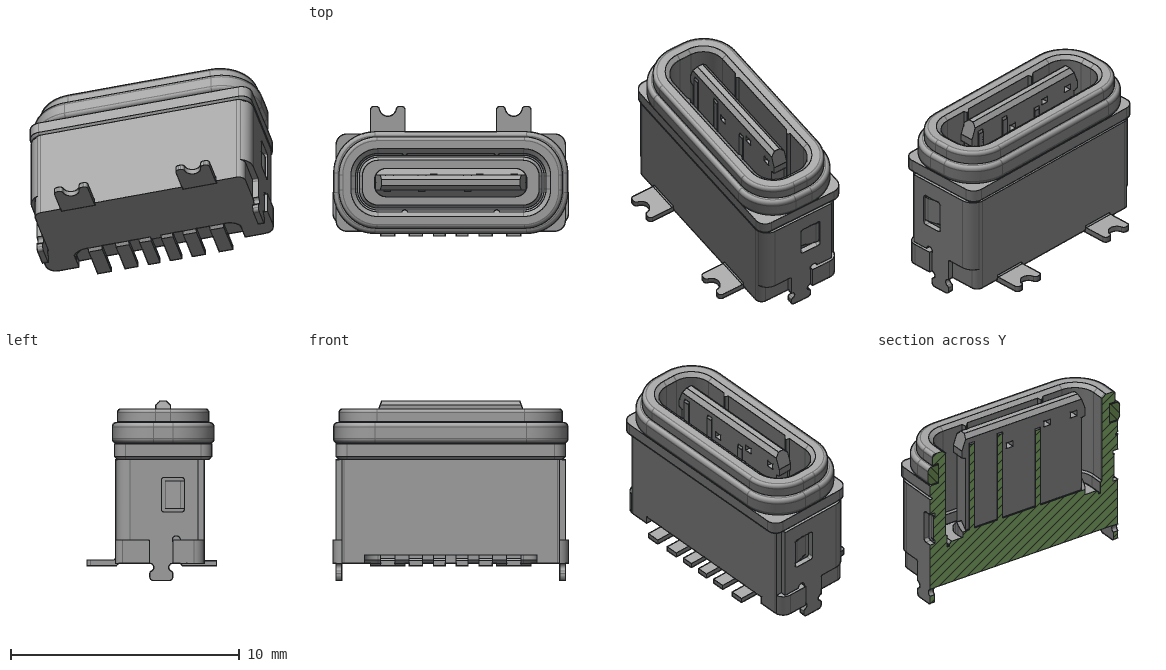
import cadquery as cq
import math


mouth_half_x = 4.36
mouth_half_y = 1.48
mouth_corner_radius = 1.19
entry_chamfer_width = 0.21
entry_chamfer_depth = 0.15
lip_half_x = 4.88
lip_half_y = 2.0
lip_corner_radius = 1.67
groove_depth = 0.31
lip_top = 6.75
lip_bottom = 6.18
lip_fillet = 0.16

seal_half_x = 5.11
seal_half_y = 2.22
seal_corner_radius = 1.8
seal_top = 6.15
seal_bottom = 5.25
seal_fillet = 0.2

flange_half_x = 5.01
flange_half_y = 2.13
flange_top = 5.22
flange_bottom = 4.53
flange_corner_radius = 0.48
flange_chamfer = 0.14

body_half_x = 4.75
body_front = -1.81
body_back = 2.09
body_front_chamfer_x = 0.09
body_front_chamfer_y = 0.02
body_back_radius = 0.32

plate_outer_x = flange_half_x
plate_front = -1.52
plate_back_radius = 0.65
foot_height = 1.03
foot_outer_x = 5.15
foot_end = -0.43
foot_corner_radius = 0.47
leg_center_y = 0.08
leg_half_width = 0.5
leg_bottom = -0.75
leg_notch_radius = 0.17
leg_shoulder_radius = 0.12
leg_tip_radius = 0.15
leg_root_radius = 0.08
relief_center_y = -0.58
relief_radius = 0.17

window_back = 0.08
window_front = -0.93
window_bottom = 2.24
window_top = 3.76
window_corner_radius = 0.12
barb_toe_y = -0.1
barb_crest_y = -0.76
barb_height = 0.16
barb_margin = 0.16

floor_z = 2.06
ledge_top = 2.47
ledge_width = 0.08
moat_depth = 0.21
plug_chamfer = 0.13
plug_inset = 0.3

tongue_half_thickness = 0.33
tongue_half_x = 3.28
tongue_top = 7.1
tongue_tip_half_x = 3.01
tongue_tip_chamfer = 0.2
tongue_bevel_bottom = 6.38
tongue_side_bottom = 6.03
tongue_notch_top = 5.96
tongue_notch_half_x = 3.09
collar_half_x = 3.33
collar_half_y = 0.62
collar_radius = 0.51

contact_places = [(-2.77, 6.65), (-1.27, 6.65), (0.74, 6.22)]
contact_width = 0.29
contact_height = 0.05
contact_end_slope = 0.12

pocket_places = [(2.68, 6.42), (1.26, 6.44), (-0.74, 6.01)]
pocket_width = 0.35
pocket_height = 0.28
pocket_depth = 0.41

rib_x = 2.01
rib_width = 0.29
rib_crest_width = 0.06
rib_height = 0.09

recess_half_x = 3.76
recess_height = 0.36
recess_back = -0.86
recess_radius = 0.59
recess_slope = 0.15
recess_middle_half_x = 0.24

solder_z = -0.1
terminals = [(2.75, 0.62), (1.52, 0.6), (0.49, 0.52)]
terminal_tip = -2.34
terminal_thickness = 0.23
terminal_root = -0.67
terminal_bend = 0.17
terminal_inner_bend = 0.09
tab_x = 2.75
tab_width = 1.51
tab_tip = 3.33
tab_thickness = 0.26
tab_bend_y = 2.15
tab_bend_angle = 45.0
tab_root_y = 1.85
tab_notch_radius = 0.37
tab_notch_bottom = 2.9
tab_tip_radius = 0.15

wall_half_x = mouth_half_x - entry_chamfer_width
wall_half_y = mouth_half_y - entry_chamfer_width
plate_thickness = plate_outer_x - body_half_x
window_mid_y = (window_back + window_front) / 2
window_mid_z = (window_bottom + window_top) / 2


def box(x0, x1, y0, y1, z0, z1):
    """Box between two opposite corners."""
    return cq.Workplane("XY").box(x1 - x0, y1 - y0, z1 - z0, centered=False).translate((x0, y0, z0))


def rounded_block(half_x, half_y, radius, z0, z1):
    """Upright block centred on the Z axis with rounded vertical edges."""
    block = box(-half_x, half_x, -half_y, half_y, z0, z1)
    return block.edges("|Z").fillet(radius)


def mouth_track(offset, z0, z1):
    """Block shaped like the mouth, grown outwards by the offset."""
    return rounded_block(mouth_half_x + offset, mouth_half_y + offset, mouth_corner_radius + offset, z0, z1)


def tapered_track(half_x, half_y, radius, z0, height, inset):
    """Rounded block that gets narrower all round by the inset from bottom to top."""
    outline = cq.Sketch().rect(2 * half_x, 2 * half_y).vertices().fillet(radius)
    angle = math.degrees(math.atan2(inset, height))
    return cq.Workplane("XY", origin=(0, 0, z0)).placeSketch(outline).extrude(height, taper=angle)


def round_cross_edge(shape, y, z, radius):
    """Rounds the edge of the left side that runs along X through the given Y and Z."""
    reach = 0.01
    selector = cq.selectors.BoxSelector((-foot_outer_x, y - reach, z - reach), (0, y + reach, z + reach))
    return shape.edges("|X").edges(selector).fillet(radius)


def both_ends(shape):
    """The shape together with its mirror image across X = 0."""
    return shape.union(shape.mirror("YZ"))


def make_neck(z0, z1):
    """Neck below the lip, which the seal ring surrounds."""
    return rounded_block(
        lip_half_x - groove_depth, lip_half_y - groove_depth, lip_corner_radius - groove_depth, z0, z1
    )


def make_seal_ring():
    ring = rounded_block(seal_half_x, seal_half_y, seal_corner_radius, seal_bottom, seal_top)
    ring = ring.faces("<Z or >Z").edges().fillet(seal_fillet)
    return ring.cut(make_neck(seal_bottom, seal_top))


def make_mouth():
    lip = rounded_block(lip_half_x, lip_half_y, lip_corner_radius, lip_bottom, lip_top)
    lip = lip.faces(">Z").edges().fillet(lip_fillet)
    return lip.union(make_neck(flange_bottom, lip_bottom))


def make_flange():
    flange = rounded_block(flange_half_x, flange_half_y, flange_corner_radius, flange_bottom, flange_top)
    return flange.faces("<Z").edges().chamfer(flange_chamfer)


def make_body_block():
    half_profile = [
        (body_half_x, body_back),
        (body_half_x, body_front + body_front_chamfer_y),
        (body_half_x - body_front_chamfer_x, body_front),
    ]
    profile = half_profile + [(-x, y) for x, y in reversed(half_profile)]
    block = cq.Workplane("XY").polyline(profile).close().extrude(flange_bottom)
    return block.edges("|Z and >Y").fillet(body_back_radius)


def make_leg():
    """Leg of the left side plate, with a round notch in each edge just below the body."""
    leg_front = leg_center_y - leg_half_width
    leg_back = leg_center_y + leg_half_width
    leg = box(-plate_outer_x, -body_half_x, leg_front, leg_back, leg_bottom, foot_height)
    leg = leg.edges("|X and <Z").fillet(leg_tip_radius)
    notches = cq.Workplane("YZ", origin=(-plate_outer_x, leg_center_y, -leg_notch_radius))
    notches = notches.pushPoints([(-leg_half_width, 0), (leg_half_width, 0)])
    leg = leg.cut(notches.circle(leg_notch_radius).extrude(plate_thickness))
    for y in (leg_front, leg_back):
        leg = round_cross_edge(leg, y, -2 * leg_notch_radius, leg_shoulder_radius)
    return leg


def make_foot():
    """Foot that wraps round the lower front corner of the left side."""
    foot = box(-foot_outer_x, 0, body_front, foot_end, 0, foot_height)
    foot = foot.edges("|Z and <X and <Y").fillet(foot_corner_radius)
    return foot.cut(box(-body_half_x, 0, body_front, foot_end, 0, foot_height))


def make_side():
    """Left side plate with its leg, foot, relief, window and latch barb."""
    plate = box(-plate_outer_x, 0, plate_front, body_back, foot_height, flange_bottom)
    plate = plate.edges("|Z and <X and >Y").fillet(plate_back_radius)

    plate_cutter = cq.Workplane("YZ", origin=(-plate_outer_x, 0, 0))
    window = plate_cutter.center(window_mid_y, window_mid_z)
    window = window.rect(window_back - window_front, window_top - window_bottom).extrude(plate_thickness)
    window = window.edges("|X").fillet(window_corner_radius)
    relief = plate_cutter.center(relief_center_y, foot_height).circle(relief_radius).extrude(plate_thickness)

    barb_profile = [
        (-body_half_x, barb_toe_y),
        (-body_half_x - barb_height, barb_crest_y),
        (-body_half_x - barb_height, window_front),
        (-body_half_x, window_front),
    ]
    barb = cq.Workplane("XY", origin=(0, 0, window_bottom + barb_margin)).polyline(barb_profile).close()
    barb = barb.extrude(window_top - window_bottom - 2 * barb_margin)

    side = plate.union(make_leg())
    side = round_cross_edge(side, leg_center_y + leg_half_width, foot_height, leg_root_radius)
    return side.cut(window).cut(relief).union(barb).union(make_foot())


def make_cavity():
    """Space inside the mouth, down to the moat around the floor plug."""
    wall_offset = -entry_chamfer_width
    cavity = mouth_track(wall_offset, ledge_top, lip_top)
    cavity = cavity.union(mouth_track(wall_offset - ledge_width, floor_z - moat_depth, ledge_top))
    ledge = tapered_track(
        wall_half_x, wall_half_y, mouth_corner_radius + wall_offset, 0, ledge_width, ledge_width
    )
    ledge = ledge.mirror("XY").translate((0, 0, ledge_top))
    plug = mouth_track(wall_offset - plug_inset + plug_chamfer, floor_z - moat_depth, floor_z)
    plug = plug.faces(">Z").edges().chamfer(plug_chamfer)
    return cavity.union(ledge).cut(plug)


def make_entry():
    """Sloped entry of the mouth, reaching far enough inwards to trim the tops of the wall ribs too."""
    reach = entry_chamfer_width + rib_height
    depth = entry_chamfer_depth * reach / entry_chamfer_width
    entry = tapered_track(mouth_half_x, mouth_half_y, mouth_corner_radius, 0, depth, reach)
    return entry.mirror("XY").translate((0, 0, lip_top))


def make_tongue_blade():
    half_profile = [
        (tongue_tip_half_x, tongue_top),
        (tongue_half_x, tongue_bevel_bottom),
        (tongue_half_x, tongue_side_bottom),
        (tongue_notch_half_x, tongue_notch_top),
        (tongue_notch_half_x, floor_z),
    ]
    front_profile = half_profile + [(-x, z) for x, z in reversed(half_profile)]
    blade = cq.Workplane("XZ").polyline(front_profile).close().extrude(tongue_half_thickness, both=True)
    return blade.faces(">Z").edges("|X").chamfer(tongue_tip_chamfer)


def make_contact(x, top):
    """Contact strip on the front face of the tongue, sloped at its upper end."""
    profile = [
        (-tongue_half_thickness, floor_z),
        (-tongue_half_thickness - contact_height, floor_z),
        (-tongue_half_thickness - contact_height, top - contact_end_slope),
        (-tongue_half_thickness, top),
    ]
    strip = cq.Workplane("YZ").polyline(profile).close().extrude(contact_width / 2, both=True)
    return strip.translate((x, 0, 0))


def make_pocket(x, top):
    """Square pocket in the front face of the tongue."""
    return box(
        x - pocket_width / 2, x + pocket_width / 2,
        -tongue_half_thickness, pocket_depth - tongue_half_thickness,
        top - pocket_height, top,
    )


def make_collar():
    """Rounded foot of the tongue, with a sloping roof on each side."""
    ridge_z = floor_z + collar_half_y
    roof_profile = [(-collar_half_y, floor_z), (0, ridge_z), (collar_half_y, floor_z)]
    roof = cq.Workplane("YZ").polyline(roof_profile).close().extrude(collar_half_x, both=True)
    return roof.intersect(rounded_block(collar_half_x, collar_half_y, collar_radius, floor_z, ridge_z))


def make_tongue():
    """Tongue whose two faces are alike when it is turned half round about Z."""
    tongue = make_tongue_blade()
    for half_turn in (0, 180):
        for x, top in pocket_places:
            tongue = tongue.cut(make_pocket(x, top).rotate((0, 0, 0), (0, 0, 1), half_turn))
    for half_turn in (0, 180):
        for x, top in contact_places:
            tongue = tongue.union(make_contact(x, top).rotate((0, 0, 0), (0, 0, 1), half_turn))
    return tongue.union(make_collar())


def make_wall_rib(x, side):
    """Small ridge down a long wall of the cavity; side is 1 for the back wall, -1 for the front."""
    profile = [
        (x - rib_width / 2, side * wall_half_y),
        (x - rib_crest_width / 2, side * (wall_half_y - rib_height)),
        (x + rib_crest_width / 2, side * (wall_half_y - rib_height)),
        (x + rib_width / 2, side * wall_half_y),
    ]
    rib = cq.Workplane("XY", origin=(0, 0, ledge_top)).polyline(profile).close()
    return rib.extrude(lip_top - entry_chamfer_depth - ledge_top)


def make_terminal_recess():
    """Recess with rounded back corners, sloped along its lower back edge except at the middle."""
    recess = box(-recess_half_x, recess_half_x, body_front, recess_back, 0, recess_height)
    recess = recess.edges("|Z and >Y").fillet(recess_radius)

    slope_end_y = recess_back + recess_slope
    slope = tapered_track(
        recess_half_x + recess_slope, slope_end_y - body_front, recess_radius + recess_slope,
        0, recess_slope, recess_slope,
    )
    slope = slope.translate((0, body_front, 0))
    slope = slope.intersect(box(-recess_half_x, recess_half_x, body_front, slope_end_y, 0, recess_slope))
    middle = box(-recess_middle_half_x, recess_middle_half_x, body_front, slope_end_y, 0, recess_slope)
    return recess.union(slope.cut(middle))


def make_terminal(x, width):
    """L-shaped terminal that runs forwards under the body from a riser."""
    profile = [
        (terminal_tip, solder_z),
        (terminal_tip, solder_z + terminal_thickness),
        (terminal_root - terminal_thickness - terminal_inner_bend, solder_z + terminal_thickness),
        (terminal_root - terminal_thickness, solder_z + terminal_thickness + terminal_inner_bend),
        (terminal_root - terminal_thickness, recess_height),
        (terminal_root, recess_height),
        (terminal_root, solder_z + terminal_bend),
        (terminal_root - terminal_bend, solder_z),
    ]
    terminal = cq.Workplane("YZ").polyline(profile).close().extrude(width / 2, both=True)
    return terminal.translate((x, 0, 0))


def make_shield_tab():
    """Left shield tab, bent out of the body and notched at its tip."""
    tab_top = solder_z + tab_thickness
    bend_shift = tab_thickness * math.tan(math.radians(tab_bend_angle / 2))
    bend_slope = math.tan(math.radians(tab_bend_angle))
    profile = [
        (tab_tip, solder_z),
        (tab_tip, tab_top),
        (tab_bend_y, tab_top),
        (tab_root_y, tab_top + bend_slope * (tab_bend_y - tab_root_y)),
        (tab_root_y, solder_z + bend_slope * (tab_bend_y - bend_shift - tab_root_y)),
        (tab_bend_y - bend_shift, solder_z),
    ]
    tab = cq.Workplane("YZ").polyline(profile).close().extrude(tab_width / 2, both=True)
    notch_center_y = tab_notch_bottom + tab_notch_radius
    notch = cq.Workplane("XY", origin=(0, notch_center_y, solder_z)).circle(tab_notch_radius)
    tab = tab.cut(notch.extrude(tab_thickness))
    tab = tab.edges("|Z and >Y").fillet(tab_tip_radius)
    return tab.translate((-tab_x, 0, 0))


def make_connector():
    connector = make_mouth().union(make_flange()).union(make_body_block())
    connector = connector.union(both_ends(make_side()))
    connector = connector.cut(make_cavity()).cut(make_terminal_recess())
    for x in (-rib_x, rib_x):
        for side in (-1, 1):
            connector = connector.union(make_wall_rib(x, side))
    connector = connector.cut(make_entry()).union(make_tongue())
    for x, width in terminals:
        connector = connector.union(both_ends(make_terminal(x, width)))
    return connector.union(both_ends(make_shield_tab()))


seal_ring = make_seal_ring()
connector = make_connector()
result = cq.Compound.makeCompound([connector.val(), seal_ring.val()])